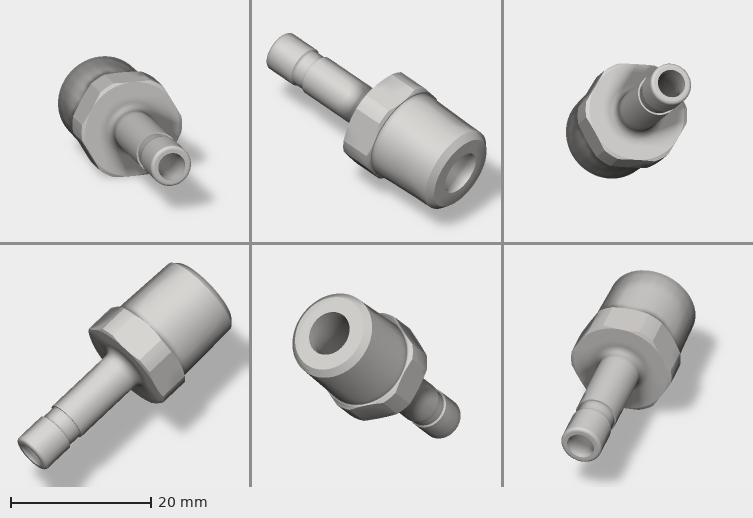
import cadquery as cq
import math

gauge_plane = 6.0
hex_start = 11.0
hex_end = 16.0
groove_start = 27.8
groove_end = 29.9
total_length = 35.0

gauge_diameter = 13.157
thread_taper = 1 / 16
thread_chamfer = 0.9

across_flats = 14.0
hex_turned_diameter = 15.0
hex_face_diameter = 14.0
hex_front_chamfer_length = 0.35
hex_rear_chamfer_length = 0.23

stem_diameter = 6.0
stem_root_radius = 1.0
stem_tip_radius = 0.5
groove_diameter = 5.5
groove_ramp_length = 0.2

large_bore_diameter = 6.5
large_bore_depth = 13.0
through_bore_diameter = 4.0
drill_point_angle = 118.0


def thread_radius(x):
    """Radius of the tapered thread envelope at station x."""
    return (gauge_diameter + thread_taper * (x - gauge_plane)) / 2


def revolve_about_x(profile):
    """Revolve a closed XY profile a full turn about the X axis."""
    return profile.revolve(360, (0, 0, 0), (1, 0, 0))


def make_thread_body():
    """Tapered thread envelope with a 45 degree lead-in chamfer."""
    shoulder_radius = thread_radius(thread_chamfer)
    profile = (
        cq.Workplane("XY")
        .lineTo(0, shoulder_radius - thread_chamfer)
        .lineTo(thread_chamfer, shoulder_radius)
        .lineTo(hex_start, thread_radius(hex_start))
        .lineTo(hex_start, 0)
        .close()
    )
    return revolve_about_x(profile)


def make_hexagon():
    """Hexagon with flats facing +Z and -Z, its corners turned and chamfered."""
    prism = (
        cq.Workplane("YZ", origin=(hex_start, 0, 0))
        .polygon(6, across_flats / math.cos(math.pi / 6))
        .extrude(hex_end - hex_start)
    )
    turned_radius = hex_turned_diameter / 2
    envelope = (
        cq.Workplane("XY")
        .moveTo(hex_start, 0)
        .lineTo(hex_start, hex_face_diameter / 2)
        .lineTo(hex_start + hex_front_chamfer_length, turned_radius)
        .lineTo(hex_end - hex_rear_chamfer_length, turned_radius)
        .lineTo(hex_end, hex_face_diameter / 2)
        .lineTo(hex_end, 0)
        .close()
    )
    return prism.intersect(revolve_about_x(envelope))


def make_stem():
    """Stem with a concave root radius, a retaining groove and a rounded tip."""
    stem_radius = stem_diameter / 2
    groove_radius = groove_diameter / 2
    diagonal = math.sqrt(0.5)
    root_center = (hex_end + stem_root_radius, stem_radius + stem_root_radius)
    root_mid = (
        root_center[0] - stem_root_radius * diagonal,
        root_center[1] - stem_root_radius * diagonal,
    )
    tip_center = (total_length - stem_tip_radius, stem_radius - stem_tip_radius)
    tip_mid = (
        tip_center[0] + stem_tip_radius * diagonal,
        tip_center[1] + stem_tip_radius * diagonal,
    )
    profile = (
        cq.Workplane("XY")
        .moveTo(hex_end, 0)
        .lineTo(hex_end, root_center[1])
        .threePointArc(root_mid, (root_center[0], stem_radius))
        .lineTo(groove_start, stem_radius)
        .lineTo(groove_start, groove_radius)
        .lineTo(groove_end, groove_radius)
        .lineTo(groove_end + groove_ramp_length, stem_radius)
        .lineTo(tip_center[0], stem_radius)
        .threePointArc(tip_mid, (total_length, tip_center[1]))
        .lineTo(total_length, 0)
        .close()
    )
    return revolve_about_x(profile)


def make_bore():
    """Stepped bore: wide drilled hole with a conical bottom, then a through hole."""
    large_radius = large_bore_diameter / 2
    through_radius = through_bore_diameter / 2
    cone_length = (large_radius - through_radius) / math.tan(math.radians(drill_point_angle / 2))
    profile = (
        cq.Workplane("XY")
        .lineTo(0, large_radius)
        .lineTo(large_bore_depth, large_radius)
        .lineTo(large_bore_depth + cone_length, through_radius)
        .lineTo(total_length, through_radius)
        .lineTo(total_length, 0)
        .close()
    )
    return revolve_about_x(profile)


body = make_thread_body().union(make_hexagon()).union(make_stem())
result = body.cut(make_bore())